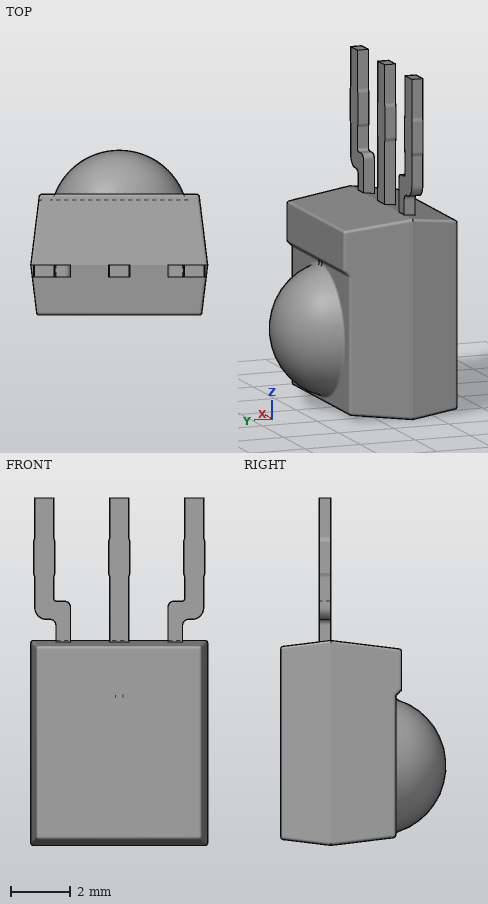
import cadquery as cq

body_width = 6.0
body_height = 6.95
back_depth = 1.7
brow_depth = 2.4
lens_face_depth = 2.2
step_z = 5.27
draft_angle = 7.0
edge_radius = 0.1

lens_tip_y = 3.9
lens_radius = 2.35
lens_z = 2.7
lens_root_radius = 0.1
lens_embed = 0.1

lead_tip_z = 11.78
lead_thickness = 0.4
lead_pitch = 2.54
lead_width = 0.65
lead_embed = 0.5
lead_embed_z = body_height - lead_embed

bulge_width = 0.725
bulge_bottom_z = 9.22
bulge_top_z = 10.3
bulge_ramp = 0.12

foot_center_x = 1.9
foot_width = 0.5
crank_bottom_z = 7.66
crank_top_z = 8.28
outer_bend_radius = 0.4
foot_corner_radius = 0.2
upper_inside_radius = 0.1
lower_inside_radius = 0.2


def body_half(depth, toward_back):
    """Drafted block from the parting plane to -Y, or to +Y."""
    half = (
        cq.Workplane("XZ")
        .center(0, body_height / 2)
        .rect(body_width, body_height)
        .extrude(depth, taper=draft_angle)
    )
    if toward_back:
        return half
    return half.mirror("XZ")


def make_body():
    """Both halves, the step over the lens face, and the rounded edges."""
    step_rise = brow_depth - lens_face_depth
    step_cut = (
        cq.Workplane("YZ")
        .moveTo(lens_face_depth, 0)
        .lineTo(lens_face_depth, step_z - step_rise)
        .lineTo(brow_depth, step_z)
        .lineTo(lens_tip_y, step_z)
        .lineTo(lens_tip_y, 0)
        .close()
        .extrude(body_width / 2, both=True)
    )
    body = body_half(back_depth, True).union(body_half(brow_depth, False)).cut(step_cut)

    parting_edges = cq.selectors.BoxSelector(
        (-body_width, -edge_radius, -body_height),
        (body_width, edge_radius, 2 * body_height),
    )
    return body.edges(cq.selectors.InverseSelector(parting_edges)).fillet(edge_radius)


def add_lens(body):
    """Part of a sphere on the +Y face, with a small fillet around its root."""
    sphere_center_y = lens_tip_y - lens_radius
    sphere = cq.Workplane("XY").sphere(lens_radius).translate((0, sphere_center_y, lens_z))
    front_side = (
        cq.Workplane("XZ")
        .center(0, lens_z)
        .rect(2 * lens_radius, 2 * lens_radius)
        .extrude(-lens_tip_y)
        .translate((0, lens_face_depth - lens_embed, 0))
    )
    half_zone = lens_root_radius / 2
    root_edge = cq.selectors.BoxSelector(
        (-half_zone, lens_face_depth - half_zone, lens_z - half_zone),
        (half_zone, lens_face_depth + half_zone, lens_z + half_zone),
    )
    return body.union(sphere.intersect(front_side)).edges(root_edge).fillet(lens_root_radius)


def bulge(center_x):
    """Wider stretch of a lead, ramping back to the strip width at both ends."""
    narrow = lead_width / 2
    wide = bulge_width / 2
    return (
        cq.Workplane("XZ")
        .center(center_x, 0)
        .moveTo(-narrow, bulge_bottom_z - bulge_ramp)
        .lineTo(narrow, bulge_bottom_z - bulge_ramp)
        .lineTo(wide, bulge_bottom_z)
        .lineTo(wide, bulge_top_z)
        .lineTo(narrow, bulge_top_z + bulge_ramp)
        .lineTo(-narrow, bulge_top_z + bulge_ramp)
        .lineTo(-wide, bulge_top_z)
        .lineTo(-wide, bulge_bottom_z)
        .close()
        .extrude(lead_thickness)
    )


def center_lead():
    """Straight lead on the middle plane."""
    strip_height = lead_tip_z - lead_embed_z
    strip = (
        cq.Workplane("XZ")
        .center(0, lead_embed_z + strip_height / 2)
        .rect(lead_width, strip_height)
        .extrude(lead_thickness)
    )
    return strip.union(bulge(0))


def round_bend(lead, x, z, radius):
    """Round the lead's thickness edge that passes through (x, z)."""
    return lead.edges(cq.selectors.NearestToPointSelector((x, -lead_thickness / 2, z))).fillet(radius)


def outer_lead():
    """Lead on the +X side, cranked inward to its foot in the body."""
    strip_outer_x = lead_pitch + lead_width / 2
    strip_inner_x = lead_pitch - lead_width / 2
    foot_outer_x = foot_center_x + foot_width / 2
    foot_inner_x = foot_center_x - foot_width / 2
    lead = (
        cq.Workplane("XZ")
        .moveTo(foot_inner_x, lead_embed_z)
        .lineTo(foot_outer_x, lead_embed_z)
        .lineTo(foot_outer_x, crank_bottom_z)
        .lineTo(strip_outer_x, crank_bottom_z)
        .lineTo(strip_outer_x, lead_tip_z)
        .lineTo(strip_inner_x, lead_tip_z)
        .lineTo(strip_inner_x, crank_top_z)
        .lineTo(foot_inner_x, crank_top_z)
        .close()
        .extrude(lead_thickness)
    )
    lead = round_bend(lead, strip_outer_x, crank_bottom_z, outer_bend_radius)
    lead = round_bend(lead, foot_inner_x, crank_top_z, foot_corner_radius)
    lead = round_bend(lead, strip_inner_x, crank_top_z, upper_inside_radius)
    lead = round_bend(lead, foot_outer_x, crank_bottom_z, lower_inside_radius)
    return lead.union(bulge(lead_pitch))


right_lead = outer_lead()
left_lead = right_lead.mirror("YZ")

result = add_lens(make_body()).union(center_lead()).union(right_lead).union(left_lead)